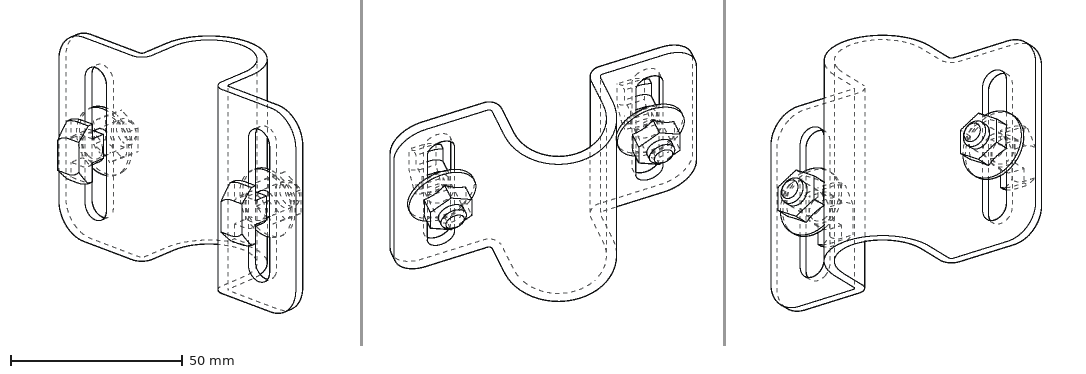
import cadquery as cq
import math


plate_width = 95.0
plate_height = 65.0
sheet_thickness = 3.0
arch_inner_radius = 14.0
arch_outer_radius = arch_inner_radius + sheet_thickness
bracket_depth = 30.5
arch_center_y = bracket_depth - arch_outer_radius
bend_inner_radius = 1.0
bend_outer_radius = bend_inner_radius + sheet_thickness
plate_corner_radius = 10.0
slot_width = 8.5
slot_length = 48.5
slot_offset_x = 32.7

fastener_offset_z = -0.25

thread_diameter = 8.0
bolt_reach = 11.7
bolt_end_y = sheet_thickness + 11.15
tip_chamfer = 1.1
head_width = slot_width
head_radius = 9.7
head_thickness = 5.8
head_chamfer = 4.0
neck_radius = 5.0
neck_length = 4.6
head_back_y = head_thickness - bolt_reach
neck_back_y = head_back_y + neck_length

nut_across_flats = 13.0
nut_height = 8.0
nut_flange_radius = 10.5
nut_flange_rim = 1.2
nut_cone_angle = math.radians(30)
nut_cone_height = nut_flange_radius * math.tan(nut_cone_angle)


def make_bracket():
    """Bent sheet with a U-shaped arch between two slotted flanges."""
    half_width = plate_width / 2
    bend_center_x = arch_inner_radius + bend_outer_radius
    bend_center_y = bend_outer_radius
    diagonal = math.sqrt(0.5)
    outer_mid = bend_outer_radius * diagonal
    inner_mid = bend_inner_radius * diagonal

    half = (
        cq.Workplane("XY", origin=(0, 0, -plate_height / 2))
        .moveTo(0, bracket_depth)
        .radiusArc((arch_outer_radius, arch_center_y), arch_outer_radius)
        .lineTo(arch_outer_radius, bend_center_y)
        .threePointArc(
            (bend_center_x - inner_mid, bend_center_y - inner_mid),
            (bend_center_x, sheet_thickness),
        )
        .lineTo(half_width, sheet_thickness)
        .lineTo(half_width, 0)
        .lineTo(bend_center_x, 0)
        .threePointArc(
            (bend_center_x - outer_mid, bend_center_y - outer_mid),
            (arch_inner_radius, bend_center_y),
        )
        .lineTo(arch_inner_radius, arch_center_y)
        .radiusArc((0, arch_center_y + arch_inner_radius), -arch_inner_radius)
        .close()
        .extrude(plate_height)
    )
    bracket = half.union(half.mirror("YZ"))

    bracket = bracket.edges("|Y and (<X or >X)").fillet(plate_corner_radius)

    slots = (
        cq.Workplane("XZ")
        .pushPoints([(-slot_offset_x, 0), (slot_offset_x, 0)])
        .slot2D(slot_length, slot_width, 90)
        .extrude(-sheet_thickness)
    )
    return bracket.cut(slots)


def head_profile():
    """Half section of the neck and hammer head; X is the radius, Y the bolt axis."""
    return (
        cq.Workplane("XY")
        .moveTo(0, neck_back_y)
        .lineTo(neck_radius, neck_back_y)
        .lineTo(neck_radius, head_back_y)
        .lineTo(head_radius, head_back_y)
        .lineTo(head_radius, head_chamfer - bolt_reach)
        .lineTo(head_radius - head_chamfer, -bolt_reach)
        .lineTo(0, -bolt_reach)
        .close()
    )


def make_bolt():
    """Hammer-head bolt on the Y axis."""
    turned = head_profile().revolve(360, (0, 0, 0), (0, 1, 0))
    envelope = cq.Workplane("XY").box(head_width, 2 * bolt_reach, 2 * head_radius)
    head = turned.intersect(envelope)

    square_quarter = (
        head_profile()
        .extrude(head_width / 2)
        .rotate((0, 0, 0), (0, 1, 0), -90)
        .translate((head_width / 2, 0, 0))
    )
    for turn in (0, 180):
        head = head.union(square_quarter.rotate((0, 0, 0), (0, 1, 0), turn))

    shank = (
        cq.Workplane("XZ", origin=(0, neck_back_y, 0))
        .circle(thread_diameter / 2)
        .extrude(neck_back_y - bolt_end_y)
        .faces(">Y")
        .chamfer(tip_chamfer)
    )
    return head.union(shank)


def make_nut():
    """Hexagon nut with a conical flange, seated on the back of the bracket flange."""
    seat = cq.Workplane("XZ", origin=(0, sheet_thickness, 0))
    across_corners = nut_across_flats / math.cos(math.radians(30))
    hexagon = (
        seat.transformed(rotate=(0, 0, 90))
        .polygon(6, across_corners)
        .extrude(-nut_height)
    )
    rim_y = sheet_thickness + nut_flange_rim
    flange = (
        cq.Workplane("XY")
        .moveTo(0, sheet_thickness)
        .lineTo(nut_flange_radius, sheet_thickness)
        .lineTo(nut_flange_radius, rim_y)
        .lineTo(0, rim_y + nut_cone_height)
        .close()
        .revolve(360, (0, 0, 0), (0, 1, 0))
    )
    bore = seat.circle(thread_diameter / 2).extrude(-nut_height)
    return hexagon.union(flange).cut(bore)


bracket = make_bracket()
bolt = make_bolt()
nut = make_nut()

bodies = [bracket.val()]
for offset_x in (-slot_offset_x, slot_offset_x):
    bodies.append(bolt.translate((offset_x, 0, fastener_offset_z)).val())
    bodies.append(nut.translate((offset_x, 0, fastener_offset_z)).val())

result = cq.Compound.makeCompound(bodies)